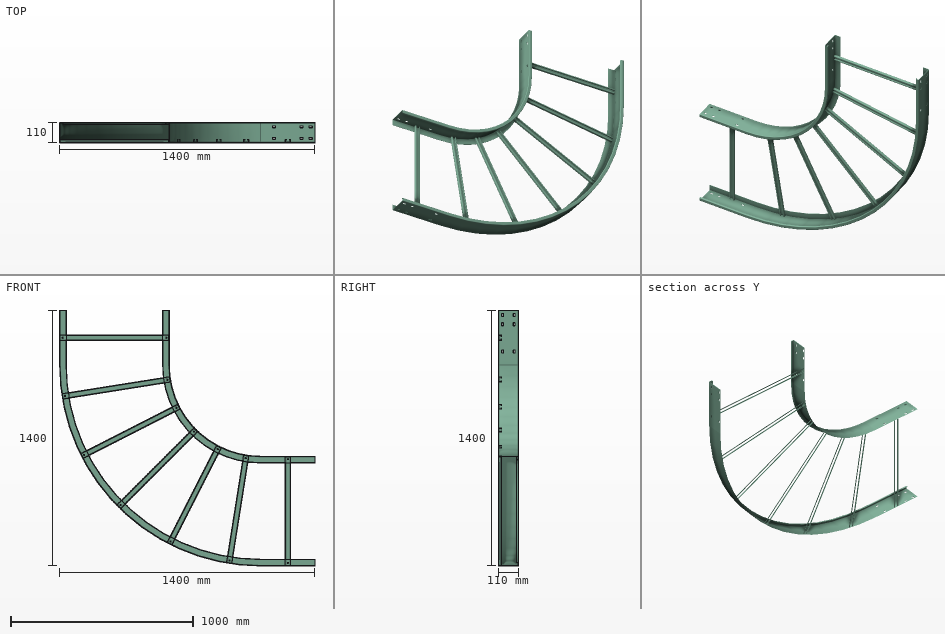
import cadquery as cq
import math

SPAN = 1400.0
STRAIGHT = 300.0
LADDER_WIDTH = 600.0
OUTER_RADIUS = SPAN - STRAIGHT
INNER_RADIUS = OUTER_RADIUS - LADDER_WIDTH

SHEET = 2.0
FOLD_RADIUS = 3.1
INSIDE_FOLD_RADIUS = FOLD_RADIUS - SHEET

RAIL_DEPTH = 110.0
FRONT_FLANGE = 36.0
BACK_FLANGE = 20.0
BACK_LIP = 10.0

SLOT_SETBACKS = (25.0, 75.0, 225.0)
SLOT_ROW_SPACING = 63.0
SLOT_LENGTH = 15.0
SLOT_WIDTH = 8.0

RUNG_WIDTH = 30.0
RUNG_DEPTH = 15.0
RUNG_LIP = 7.0
RUNG_END_INSET = 3.2
RUNG_LENGTH = LADDER_WIDTH - 2 * RUNG_END_INSET
END_RUNG_SETBACK = 150.0
BEND_RUNGS = 5
BEND_RUNG_PITCH = 90.0 / BEND_RUNGS

FIXING_DIAMETER = 4.0
FIXING_SETBACK = 15.0


def folded_section(workplane, points):
    """Sheet section with its outside face along points; its square folds all turn the same way."""
    outside = [cq.Vector(*point) for point in points]
    steps = [(end - start).normalized() for start, end in zip(outside, outside[1:])]
    first_normal, last_normal = steps[1], -steps[-2]
    fold_normals = [after - before for before, after in zip(steps, steps[1:])]
    normals = [first_normal, *fold_normals, last_normal]
    inside = [point + normal * SHEET for point, normal in zip(outside, normals)]

    wire = workplane.moveTo(*points[0])
    for corner, before, after in zip(outside[1:-1], steps, steps[1:]):
        wire = add_fold(wire, corner, before, after, FOLD_RADIUS)
    wire = wire.lineTo(outside[-1].x, outside[-1].y).lineTo(inside[-1].x, inside[-1].y)
    for corner, after, before in reversed(list(zip(inside[1:-1], steps, steps[1:]))):
        wire = add_fold(wire, corner, -before, -after, INSIDE_FOLD_RADIUS)
    return wire.lineTo(inside[0].x, inside[0].y).close()


def add_fold(wire, corner, before, after, radius):
    """Run the wire up to a square corner and round it, leaving along the direction after."""
    start = corner - before * radius
    end = corner + after * radius
    return wire.lineTo(start.x, start.y).tangentArcPoint((end.x, end.y), relative=False)


def swap_arms(shape):
    """Turn a shape from the straight run along Z to the one along X, keeping its place along Y."""
    return shape.mirror("XY").rotate((0, 0, 0), (0, 1, 0), -90)


def place_along_bend(shape, angle, run):
    """Move a shape up the straight run, then turn it about the bend axis from the -X side."""
    return shape.translate((0, 0, run)).rotate((0, 0, 0), (0, 1, 0), -angle)


def rung_stations():
    """Bend angle and straight run of every rung."""
    end_run = STRAIGHT - END_RUNG_SETBACK
    bend_stations = [((i + 0.5) * BEND_RUNG_PITCH, 0) for i in range(BEND_RUNGS)]
    return [(0, end_run), *bend_stations, (90, -end_run)]


def fixing_holes(angle, run):
    """Drills for the two fixings of one rung, ending inside the hollow of the rung."""
    hole_places = [(-OUTER_RADIUS + FIXING_SETBACK, 0), (-INNER_RADIUS - FIXING_SETBACK, 0)]
    drills = (
        cq.Workplane("XZ")
        .pushPoints(hole_places)
        .circle(FIXING_DIAMETER / 2)
        .extrude(-RUNG_DEPTH / 2)
    )
    return place_along_bend(drills, angle, run)


def splice_slots(web_radius):
    """Cutters for the slots in one straight run of a web."""
    rows = [RAIL_DEPTH / 2 + side * SLOT_ROW_SPACING / 2 for side in (-1, 1)]
    slot_places = [(y, STRAIGHT - setback) for y in rows for setback in SLOT_SETBACKS]
    return (
        cq.Workplane("YZ", origin=(-web_radius, 0, 0))
        .pushPoints(slot_places)
        .rect(SLOT_WIDTH, SLOT_LENGTH)
        .extrude(2 * SHEET, both=True)
    )


def rail(web_radius, flange_direction):
    """Channel rail; flange_direction is the way its flanges point along X on the -X side."""
    web = -web_radius
    front_edge = web + flange_direction * FRONT_FLANGE
    back_edge = web + flange_direction * BACK_FLANGE
    outside_face = [
        (front_edge, 0),
        (web, 0),
        (web, RAIL_DEPTH),
        (back_edge, RAIL_DEPTH),
        (back_edge, RAIL_DEPTH - BACK_LIP),
    ]
    arm = folded_section(cq.Workplane("XY"), outside_face).extrude(STRAIGHT)
    arm = arm.cut(splice_slots(web_radius))
    bend = folded_section(cq.Workplane("XY"), outside_face).revolve(90, (0, 0), (0, -1))
    channel = bend.union(arm).union(swap_arms(arm))
    for angle, run in rung_stations():
        channel = channel.cut(fixing_holes(angle, run))
    return channel


def rung(angle, run):
    """Lipped channel running from rail to rail behind the front flanges."""
    half_width = RUNG_WIDTH / 2
    front = SHEET
    back = front + RUNG_DEPTH
    lip_edge = half_width - RUNG_LIP
    outside_face = [
        (back, -lip_edge),
        (back, -half_width),
        (front, -half_width),
        (front, half_width),
        (back, half_width),
        (back, lip_edge),
    ]
    section_plane = cq.Workplane("YZ", origin=(-OUTER_RADIUS + RUNG_END_INSET, 0, 0))
    channel = folded_section(section_plane, outside_face).extrude(RUNG_LENGTH)
    return place_along_bend(channel, angle, run).cut(fixing_holes(angle, run))


outer_rail = rail(OUTER_RADIUS, 1)
inner_rail = rail(INNER_RADIUS, -1)
rungs = [rung(angle, run) for angle, run in rung_stations()]

result = cq.Compound.makeCompound([
    outer_rail.val(),
    inner_rail.val(),
    *[body.val() for body in rungs],
])